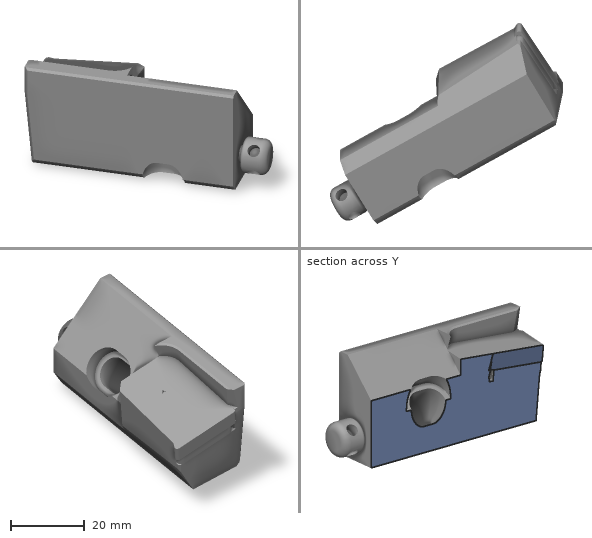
import cadquery as cq
import math

holder_height = 30.0
holder_end_x = 59.85
holder_front_x = 0.7
wall_top_chamfer = 0.6
bottom_chamfer = 2.05
front_chamfer = 1.0
underside_y = 17.3
underside_angle = 28.0

head_end_x = 28.8
rear_width = 20.05
clamp_face_y = 3.75
clamp_face_sum = clamp_face_y + holder_height

seat_y = 14.7
seat_z = 21.5
rake_angle = 5.5
tilt_angle = 8.0

insert_circle = 12.7
insert_thickness = 4.75
insert_radius = 0.8
shim_inset = 0.35
shim_thickness = 3.1
shim_radius = 1.4

head_front = 0.55
head_side = 9.65
head_side_rear = 8.8
head_nose_chamfer = 0.55
head_corner_x = 26.5
head_corner_run = 2.7

lip_y = 5.65
lip_front_y = 4.55
lip_run = 0.6
lip_drop = 0.35
clearance_radius = 6.05
clearance_arc_x = 23.1

slot_x = 39.9
slot_straight = 3.05
slot_width = 8.8
counterbore_width = 12.1
counterbore_depth = 4.3

screw_y = 7.95
screw_z = 8.0
neck_diameter = 4.9
head_diameter = 10.0
screw_head_x = 60.8
screw_end_x = 68.0
screw_inner_fillet = 0.9
screw_outer_fillet = 2.05
tommy_hole_diameter = 3.5
tommy_hole_x = 64.4
tommy_hole_floor = 1.8

reach = 136.0

insert_edge_slope = math.tan(math.radians(30))
rake_slope = math.tan(math.radians(rake_angle))
tilt_slope = math.tan(math.radians(tilt_angle))
seat_normal = cq.Vector(-rake_slope, tilt_slope, 1)
seat_edge = cq.Vector(0, 1, -tilt_slope)
seat = cq.Plane((0, seat_y, seat_z), seat_edge.cross(seat_normal), seat_normal)


def seat_triangle(circle_diameter, inset, top, depth):
    """Equilateral prism on the seat, front edge moved back by inset, going down from top."""
    height = 1.5 * circle_diameter
    half_edge = height / math.sqrt(3)
    corners = [(inset, -half_edge), (inset + height, 0), (inset, half_edge)]
    return cq.Workplane(seat).workplane(offset=top).polyline(corners).close().extrude(-depth)


def rounded_triangle(circle_diameter, inset, top, depth, radius):
    prism = seat_triangle(circle_diameter, inset, top, depth)
    return prism.edges(cq.selectors.ParallelDirSelector(seat.zDir)).fillet(radius)


def make_insert():
    return rounded_triangle(insert_circle, 0, 0, insert_thickness, insert_radius)


def make_block():
    """Wall and head envelope with its front faces and chamfers."""
    top_y = underside_y + holder_height * math.tan(math.radians(underside_angle))
    profile = [(0, 0), (underside_y, 0), (top_y, holder_height), (0, holder_height)]
    block = cq.Workplane("YZ").workplane(offset=holder_front_x).polyline(profile).close()
    block = block.extrude(holder_end_x - holder_front_x)

    outline = [
        (head_front, -reach),
        (head_front, head_side - head_nose_chamfer),
        (head_front + head_nose_chamfer, head_side),
        (head_corner_x, head_side_rear),
        (head_corner_x + head_corner_run, head_side_rear - head_corner_run),
        (reach, head_side_rear - head_corner_run),
        (reach, -reach),
    ]
    head = cq.Workplane(seat).polyline(outline).close().extrude(reach, both=True)
    rear = cq.Workplane("YZ").workplane(offset=head_end_x).rect(reach, reach).extrude(reach)
    block = block.intersect(head.union(rear))

    front_edges = cq.selectors.BoxSelector(
        (-reach, -front_chamfer, front_chamfer),
        (head_end_x / 2, front_chamfer, holder_height - front_chamfer),
    )
    block = block.faces("<Y").edges(front_edges).chamfer(front_chamfer)

    for edge_z, direction, size in ((0, 1, bottom_chamfer), (holder_height, -1, wall_top_chamfer)):
        corner = [(0, edge_z), (size, edge_z), (0, edge_z + direction * size)]
        block = block.cut(cq.Workplane("YZ").polyline(corner).close().extrude(reach))
    return block


def make_rear_cut():
    """Space above the clamping face and beyond the rear +Y face."""
    section = [
        (clamp_face_y, holder_height),
        (rear_width, clamp_face_sum - rear_width),
        (rear_width, 0),
        (reach, 0),
        (reach, holder_height),
    ]
    return cq.Workplane("YZ").workplane(offset=head_end_x).polyline(section).close().extrude(reach)


def clearance_outline(level, start_points):
    """Plan outline beside the wall: start points at the front, straight wall, quarter arc, rear."""
    arc_center_y = lip_y + clearance_radius
    diagonal = clearance_radius * math.sqrt(0.5)
    arc_middle = (clearance_arc_x + diagonal, arc_center_y - diagonal)
    arc_end = (clearance_arc_x + clearance_radius, arc_center_y)
    return (
        cq.Workplane("XY").workplane(offset=level)
        .polyline(start_points + [(clearance_arc_x, lip_y)])
        .threePointArc(arc_middle, arc_end)
        .lineTo(arc_end[0], reach).lineTo(-reach, reach).close()
    )


def make_clearance():
    """Space over the seat plane and the bevel of its lip; the wall follows the seat normal."""
    lip_z = holder_height - lip_drop
    flare_end_x = holder_front_x + (lip_y - lip_front_y) / insert_edge_slope
    flare_start = (-reach, lip_y - (flare_end_x + reach) * insert_edge_slope)
    wire = clearance_outline(lip_z, [flare_start, (flare_end_x, lip_y)]).wires().val()
    wire = wire.translate(seat_normal * lip_drop)
    beside_wall = cq.Workplane(cq.Solid.extrudeLinear(wire, [], seat_normal * -holder_height))
    above_seat = cq.Workplane(seat).rect(4 * reach, 4 * reach).extrude(reach)
    lip_angle = math.degrees(math.atan2(lip_run, lip_drop))
    bevel_outline = clearance_outline(lip_z, [(-reach, lip_y)])
    bevel = bevel_outline.extrude(lip_drop, taper=-lip_angle)
    return beside_wall.intersect(above_seat), bevel


def make_mounting_slot():
    """Counterbored slot running down from the clamping face to the lower -Y edge."""
    mouth = clamp_face_sum / 2
    axis_plane = cq.Plane((slot_x, mouth, mouth), (1, 0, 0), (0, 1, 1))
    slot = cq.Workplane(axis_plane).slot2D(slot_straight + slot_width, slot_width).extrude(-reach)
    bore = cq.Workplane(axis_plane).slot2D(slot_straight + counterbore_width, counterbore_width)
    return slot.union(bore.extrude(counterbore_depth, both=True))


def make_screw():
    """Screw neck and round head with four blind tommy-bar holes."""
    axis = cq.Workplane("YZ", origin=(holder_end_x, screw_y, screw_z))
    neck = axis.circle(neck_diameter / 2).extrude(screw_head_x - holder_end_x)
    head = axis.workplane(offset=screw_head_x - holder_end_x).circle(head_diameter / 2)
    head = head.extrude(screw_end_x - screw_head_x)
    head = head.faces("<X").edges().fillet(screw_inner_fillet)
    head = head.faces(">X").edges().fillet(screw_outer_fillet)
    for side, rise in ((-1, -1), (-1, 1), (1, -1), (1, 1)):
        hole_plane = cq.Plane((tommy_hole_x, screw_y, screw_z), (1, 0, 0), (0, side, rise))
        hole = cq.Workplane(hole_plane).workplane(offset=tommy_hole_floor)
        head = head.cut(hole.circle(tommy_hole_diameter / 2).extrude(head_diameter))
    return neck.union(head)


def make_holder():
    holder = make_block().cut(make_rear_cut())
    for clearance in make_clearance():
        holder = holder.cut(clearance)

    shim_circle = insert_circle - 2 * shim_inset
    holder = holder.cut(seat_triangle(insert_circle, 0, holder_height, holder_height + insert_thickness))
    holder = holder.cut(seat_triangle(shim_circle, shim_inset, -insert_thickness, shim_thickness))
    shim = rounded_triangle(shim_circle, shim_inset, -insert_thickness, shim_thickness, shim_radius)

    return holder.union(shim).cut(make_mounting_slot()).union(make_screw())


insert = make_insert()
holder = make_holder()
result = cq.Compound.makeCompound([holder.val(), insert.val()])